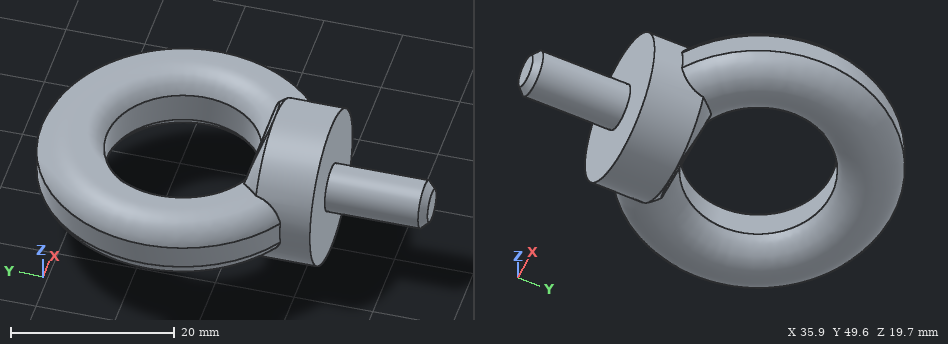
import cadquery as cq

total_length = 49.55
ring_outer_radius = 17.95
ring_inner_radius = 9.65
ring_half_height = 4.55
inner_wall_half_height = 2.0
outer_wall_half_height = 1.55

collar_radius = 9.85
collar_base_y = -18.83
collar_rim_y = -11.7

dome_top_y = -8.85
dome_flat_radius = 4.25
dome_mid_radius = 8.6
dome_mid_y = -10.2
slope_top_half_width = 1.25
slope_mid_z = 7.0
slope_mid_y = -10.5

stem_radius = 3.0
stem_end_y = ring_outer_radius - total_length
tip_chamfer = 0.95


def make_ring():
    """Ring with bulging faces and straight walls, revolved about Z."""
    middle_radius = (ring_inner_radius + ring_outer_radius) / 2
    return (
        cq.Workplane("XZ")
        .moveTo(ring_inner_radius, -inner_wall_half_height)
        .lineTo(ring_inner_radius, inner_wall_half_height)
        .threePointArc((middle_radius, ring_half_height), (ring_outer_radius, outer_wall_half_height))
        .lineTo(ring_outer_radius, -outer_wall_half_height)
        .threePointArc((middle_radius, -ring_half_height), (ring_inner_radius, -inner_wall_half_height))
        .close()
        .revolve(360, (0, 0, 0), (0, 1, 0))
    )


def make_collar():
    """Round collar whose domed crown slopes down to the rim above and below the ring."""
    domed_body = (
        cq.Workplane("XY")
        .moveTo(0, collar_base_y)
        .lineTo(collar_radius, collar_base_y)
        .lineTo(collar_radius, collar_rim_y)
        .threePointArc((dome_mid_radius, dome_mid_y), (dome_flat_radius, dome_top_y))
        .lineTo(0, dome_top_y)
        .close()
        .revolve(360, (0, 0, 0), (0, 1, 0))
    )
    slope_envelope = (
        cq.Workplane("YZ")
        .moveTo(collar_base_y, -collar_radius)
        .lineTo(collar_rim_y, -collar_radius)
        .threePointArc((slope_mid_y, -slope_mid_z), (dome_top_y, -slope_top_half_width))
        .lineTo(dome_top_y, slope_top_half_width)
        .threePointArc((slope_mid_y, slope_mid_z), (collar_rim_y, collar_radius))
        .lineTo(collar_base_y, collar_radius)
        .close()
        .extrude(collar_radius, both=True)
    )
    return domed_body.intersect(slope_envelope)


def make_stem():
    """Plain round stem below the collar, chamfered at its free end."""
    return (
        cq.Workplane("XZ", origin=(0, collar_base_y, 0))
        .circle(stem_radius)
        .extrude(collar_base_y - stem_end_y)
        .faces("<Y")
        .chamfer(tip_chamfer)
    )


def make_eye_opening():
    """Cylinder that keeps the eye of the ring clear of the collar's crown."""
    return cq.Workplane("XY").circle(ring_inner_radius).extrude(collar_radius, both=True)


result = make_ring().union(make_collar()).cut(make_eye_opening()).union(make_stem())